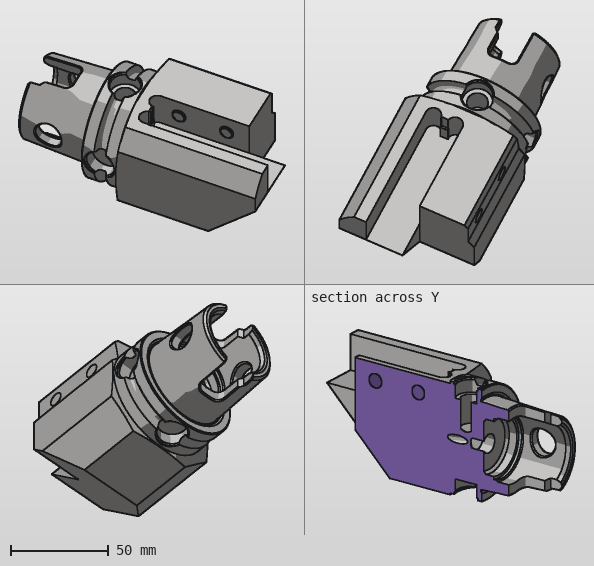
import cadquery as cq
import math

LENGTH = 140.0

shank_length = 39.6
shank_tip_radius = 23.4
shank_root_radius = 24.9
tip_chamfer = 1.3
relief_depth = 0.7
relief_inner_radius = 25.6
relief_outer_radius = 26.9

mouth_radius = 20.2
mouth_length = 0.5
throat_radius = 18.9
throat_depth = 3.1
bore_radius = 18.0
bore_depth = 29.7
neck_radius = 17.4
neck_depth = 32.2
seat_radius = 15.8
seat_depth = 37.1
floor_radius = 14.3
floor_depth = seat_depth + seat_radius - floor_radius

slot_half_width = 8.0
slot_depth = 22.7
slot_corner_radius = 3.9
rim_chamfer = 0.7
slot_relief_half_width = 10.2
slot_relief_depth = 6.9

access_x = 17.4
access_radius = 7.4

flange_radius = 31.5
flange_end = 59.9
flange_chamfer = 0.5
groove_radius = 27.9
groove_x = 49.8
groove_half_width = 3.4
groove_floor_half_width = 1.7
groove_fillet = 1.4
pocket_radius = 8.0
pocket_rim_radius = 8.7
pocket_floor = 22.5

drill_tip_angle = 95.0
axial_drill_radius = 5.2
axial_apex_x = 50.8
radial_drill_radius = 5.5
radial_apex_z = 1.4
channel_radius = 2.1
channel_start_x = 47.6
channel_start_y = 1.7
channel_angle = 20.0
channel_length = 14.0

front_side = -35.0
back_side = 32.0
back_side_upper = 28.5
block_top = 30.0
block_bottom = -32.0
lower_chamfer = 15.3
back_top_chamfer = 2.1
back_step_top = 13.5
back_step = back_side - back_side_upper
block_corner_radius = 40.0
nose_cone_slope = math.tan(math.radians(15))
back_jaw_end = 119.7

tool_slot_back = 1.0
tool_slot_front = -19.7
tool_slot_floor = 10.0
tool_slot_end = 68.6
corner_relief_radius = 4.2
corner_relief_x = 69.5

tool_axis_z = (tool_slot_floor + block_top) / 2
screw_positions = (79.9, 106.9)
screw_radius = 3.8
screw_chamfer = 0.5
screw_projection = 1.0

stop_width = 4.5
stop_thickness = 1.1


def turned(points):
    """Solid of revolution about the X axis from (x, radius) points."""
    return cq.Workplane("XY").polyline(points).close().revolve(360, (0, 0, 0), (1, 0, 0))


def drilled(radius, depth):
    """Twist-drilled hole along +Z from the origin, the point of its conical end at the given depth."""
    cone_height = radius / math.tan(math.radians(drill_tip_angle / 2))
    outline = [(0, 0), (radius, 0), (radius, depth - cone_height), (0, depth)]
    return cq.Workplane("XZ").polyline(outline).close().revolve(360, (0, 0, 0), (0, 1, 0))


def make_shank_blank():
    return turned([
        (0, 0),
        (0, shank_tip_radius - tip_chamfer),
        (tip_chamfer, shank_tip_radius),
        (shank_length - relief_depth, shank_root_radius),
        (shank_length + relief_depth, shank_root_radius),
        (shank_length + relief_depth, relief_inner_radius),
        (shank_length, relief_outer_radius),
        (shank_length, flange_radius - flange_chamfer),
        (shank_length + flange_chamfer, flange_radius),
        (flange_end, flange_radius),
        (flange_end, 0),
    ])


def make_gripper_groove():
    """Ring that cuts the gripper groove, with rounded floor corners."""
    ring = turned([
        (groove_x - groove_half_width, flange_radius),
        (groove_x - groove_floor_half_width, groove_radius),
        (groove_x + groove_floor_half_width, groove_radius),
        (groove_x + groove_half_width, flange_radius),
    ])
    return ring.edges(cq.selectors.RadiusNthSelector(0)).fillet(groove_fillet)


def make_block():
    """Tool block, its cross-section extruded along X behind the flange."""
    arc_half_angle = (math.asin(block_top / block_corner_radius)
                      + math.acos(-front_side / block_corner_radius)) / 2
    arc_top_y = -math.sqrt(block_corner_radius**2 - block_top**2)
    arc_low_z = math.sqrt(block_corner_radius**2 - front_side**2)
    arc_middle = (-block_corner_radius * math.cos(arc_half_angle),
                  block_corner_radius * math.sin(arc_half_angle))
    block = (
        cq.Workplane("YZ", origin=(flange_end, 0, 0))
        .moveTo(arc_top_y, block_top)
        .threePointArc(arc_middle, (front_side, arc_low_z))
        .lineTo(front_side, block_bottom + lower_chamfer)
        .lineTo(front_side + lower_chamfer, block_bottom)
        .lineTo(back_side - lower_chamfer, block_bottom)
        .lineTo(back_side, block_bottom + lower_chamfer)
        .lineTo(back_side, back_step_top - back_step)
        .lineTo(back_side_upper, back_step_top)
        .lineTo(back_side_upper, block_top - back_top_chamfer)
        .lineTo(back_side_upper - back_top_chamfer, block_top)
        .close()
        .extrude(LENGTH - flange_end)
    )
    nose_radius = 56.0
    nose_length = (nose_radius - flange_radius) * nose_cone_slope
    nose = turned([
        (flange_end, 0),
        (flange_end, flange_radius),
        (flange_end + nose_length, nose_radius),
        (LENGTH, nose_radius),
        (LENGTH, 0),
    ])
    block = block.intersect(nose)
    drop = tool_slot_floor - block_bottom
    underside = (
        cq.Workplane("XZ", origin=(0, back_side, 0))
        .polyline([(LENGTH, tool_slot_floor), (LENGTH, block_bottom), (LENGTH - drop, block_bottom)])
        .close()
        .extrude(back_side - front_side)
    )
    back_jaw_relief = cq.Workplane("XY").box(
        LENGTH - back_jaw_end, back_side - tool_slot_back, block_top - block_bottom, centered=False
    ).translate((back_jaw_end, tool_slot_back, block_bottom))
    return block.cut(underside).cut(back_jaw_relief)


def make_tool_slot():
    depth = block_top - tool_slot_floor
    slot = cq.Workplane("XY").box(
        LENGTH - tool_slot_end, tool_slot_back - tool_slot_front, depth, centered=False
    ).translate((tool_slot_end, tool_slot_front, tool_slot_floor))
    relief_centres = [
        (corner_relief_x, tool_slot_back - corner_relief_radius),
        (corner_relief_x, tool_slot_front + corner_relief_radius),
    ]
    ends = cq.Workplane("XY").box(
        corner_relief_x - tool_slot_end, 2 * corner_relief_radius, depth, centered=(False, True, False)
    )
    for x, y in relief_centres:
        slot = slot.cut(ends.translate((tool_slot_end, y, tool_slot_floor)))
    reliefs = (
        cq.Workplane("XY", origin=(0, 0, tool_slot_floor))
        .pushPoints(relief_centres)
        .circle(corner_relief_radius)
        .extrude(depth)
    )
    return slot.union(reliefs)


def make_bore():
    return turned([
        (0, 0),
        (0, mouth_radius),
        (mouth_length, throat_radius),
        (throat_depth, bore_radius),
        (bore_depth, bore_radius),
        (bore_depth + bore_radius - neck_radius, neck_radius),
        (neck_depth, neck_radius),
        (neck_depth, seat_radius),
        (seat_depth, seat_radius),
        (floor_depth, floor_radius),
        (floor_depth, 0),
    ])


def make_drive_slots():
    """Slot across the tip, open at both sides, wider on one flank at its mouth."""
    flank_step = slot_relief_half_width - slot_half_width
    height = 2 * flange_radius
    slot = (
        cq.Workplane("XY", origin=(0, 0, -height / 2))
        .rect(2 * slot_depth, 2 * slot_half_width)
        .extrude(height)
        .edges("|Z and >X")
        .fillet(slot_corner_radius)
    )
    relief = (
        cq.Workplane("XY", origin=(0, 0, -height / 2))
        .polyline([
            (0, 0),
            (0, -slot_relief_half_width),
            (slot_relief_depth, -slot_relief_half_width),
            (slot_relief_depth + flank_step, -slot_half_width),
            (slot_relief_depth + flank_step, 0),
        ])
        .close()
        .extrude(height)
    )
    return slot.union(relief)


def make_access_holes():
    return cq.Workplane("XZ").center(access_x, 0).circle(access_radius).extrude(flange_radius, both=True)


def make_pocket():
    """Pocket cutter along +Z, with its countersunk rim at the flange surface."""
    rim_depth = pocket_rim_radius - pocket_radius
    rim_level = math.sqrt(flange_radius**2 - pocket_rim_radius**2)
    outline = [
        (0, pocket_floor),
        (pocket_radius, pocket_floor),
        (pocket_radius, rim_level - rim_depth),
        (pocket_rim_radius, rim_level),
        (pocket_rim_radius, flange_radius + 1.4),
        (0, flange_radius + 1.4),
    ]
    pocket = cq.Workplane("XZ").polyline(outline).close().revolve(360, (0, 0, 0), (0, 1, 0))
    return pocket.translate((groove_x, 0, 0))


def make_coolant_drillings():
    """Axial and radial drillings whose points break into each other, and a slanting channel."""
    axial = drilled(axial_drill_radius, axial_apex_x - floor_depth).rotate((0, 0, 0), (0, 1, 0), 90)
    radial = drilled(radial_drill_radius, pocket_floor - radial_apex_z).rotate((0, 0, 0), (1, 0, 0), 180)
    channel = (
        cq.Workplane("YZ")
        .circle(channel_radius)
        .extrude(channel_length)
        .rotate((0, 0, 0), (0, 0, 1), channel_angle)
    )
    return (
        axial.translate((floor_depth, 0, 0))
        .union(radial.translate((groove_x, 0, pocket_floor)))
        .union(channel.translate((channel_start_x, channel_start_y, 0)))
    )


def make_access_hole_zone():
    """Selector for the edges around both access holes."""
    reach = access_radius + rim_chamfer
    return cq.selectors.BoxSelector(
        (access_x - reach, -flange_radius, -reach), (access_x + reach, flange_radius, reach)
    )


def make_shank():
    """Shank and flange with the tip slots, access holes and bore, their rims chamfered."""
    shank = make_shank_blank().cut(make_drive_slots())
    shank = shank.faces("%CONE").edges("%HYPERBOLA or %BSPLINE").chamfer(rim_chamfer)
    shank = shank.cut(make_bore()).cut(make_access_holes())
    return shank.edges("%BSPLINE").edges(make_access_hole_zone()).chamfer(rim_chamfer)


def make_housing():
    housing = make_shank().cut(make_gripper_groove()).union(make_block())
    for quarter in range(4):
        housing = housing.cut(make_pocket().rotate((0, 0, 0), (1, 0, 0), 90 * quarter))
    return housing.cut(make_tool_slot()).cut(make_coolant_drillings())


def make_screw(x):
    length = back_side_upper - tool_slot_back + screw_projection
    return (
        cq.Workplane("XZ", origin=(x, back_side_upper, tool_axis_z))
        .circle(screw_radius)
        .extrude(length)
        .faces("<Y")
        .chamfer(screw_chamfer)
    )


def make_stop():
    """Pad that stands on the slot floor against the end wall, between the corner reliefs."""
    middle_y = (tool_slot_back + tool_slot_front) / 2
    return cq.Workplane("XY").box(
        stop_thickness, stop_width, tool_axis_z - tool_slot_floor, centered=(False, True, False)
    ).translate((tool_slot_end, middle_y, tool_slot_floor))


screws = [make_screw(x) for x in screw_positions]
stop = make_stop()
housing = make_housing().cut(stop)
for screw in screws:
    housing = housing.cut(screw)

result = cq.Compound.makeCompound([housing.val(), *[screw.val() for screw in screws], stop.val()])